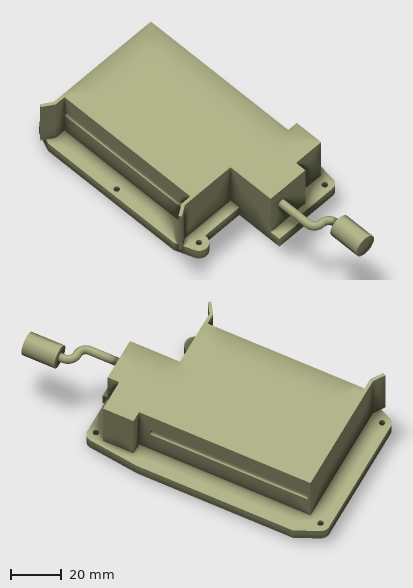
import cadquery as cq
import math

plate_thickness = 5.1
plate_depth = 69.0
plate_step_x = 106.1
ledge_x = 108.4
ledge_back_y = 44.9
notch_x = 86.2
notch_y = 30.4
back_edge_left_x = 12.1
back_edge_right_x = 81.0
front_edge_left_x = 10.4
front_edge_right_x = 79.7

hole_diameter = 2.5
left_hole_x = 3.8
left_corner_radius = left_hole_x
front_hole_y = 7.0
front_left_hole = (left_hole_x, front_hole_y)
back_left_hole = (left_hole_x, 61.0)
lug_hole = (86.8, front_hole_y)
lug_radius = 4.1
back_right_hole = (102.7, 62.0)
back_right_radius = 3.5
back_right_center = (plate_step_x - back_right_radius, 62.8)
middle_hole = (45.3, 3.0)

total_height = 27.4
housing_left_x = 9.1
housing_right_x = 81.4
housing_front_y = 9.1
housing_back_y = 59.4
housing_height = total_height - plate_thickness
wall_thickness = 1.4
tower_left_x = 85.0
tower_right_x = 98.5
tower_back_y = 64.2
side_block_x = 103.5
side_block_back_y = 50.0

slot_bottom_z = 15.3
slot_top_z = 18.2
fin_bend_y = 4.5
fin_tip_y = -1.0
fin_angle = math.radians(33)

cable_diameter = 3.5
cable_z = 18.9
cable_start_y = 36.4
cable_end_y = 44.5
first_bend_x = 118.3
first_bend_radius = 3.5
second_bend_radius = 4.0
plug_diameter = 10.0
plug_start_x = 127.5
plug_end_x = 142.0


def arc_point(center, radius, angle):
    """Point on a circle at an angle in radians."""
    return (center[0] + radius * math.cos(angle), center[1] + radius * math.sin(angle))


def tangent_angle(point, center, radius, side):
    """Angle on the circle where a line from the point touches it; side is +1 or -1."""
    dx = point[0] - center[0]
    dy = point[1] - center[1]
    return math.atan2(dy, dx) + side * math.acos(radius / math.hypot(dx, dy))


def add_corner(outline, center, radius, start, end):
    """Line to the start of a corner arc, then the arc to its end angle."""
    return outline.lineTo(*arc_point(center, radius, start)).threePointArc(
        arc_point(center, radius, (start + end) / 2),
        arc_point(center, radius, end),
    )


def make_plate():
    front_left = (front_edge_left_x, 0)
    front_right = (front_edge_right_x, 0)
    back_left = (back_edge_left_x, plate_depth)
    back_right = (back_edge_right_x, plate_depth)

    lug_start = tangent_angle(front_right, lug_hole, lug_radius, 1)
    lug_end = math.acos((notch_x - lug_hole[0]) / lug_radius)
    back_right_end = tangent_angle(back_right, back_right_center, back_right_radius, -1)
    back_left_start = tangent_angle(back_left, back_left_hole, left_corner_radius, 1)
    front_left_end = tangent_angle(front_left, front_left_hole, left_corner_radius, -1)

    outline = cq.Workplane("XY").moveTo(*front_left).lineTo(*front_right)
    outline = add_corner(outline, lug_hole, lug_radius, lug_start, lug_end)
    outline = (
        outline.lineTo(notch_x, notch_y)
        .lineTo(ledge_x, notch_y)
        .lineTo(ledge_x, ledge_back_y)
        .lineTo(plate_step_x, ledge_back_y)
    )
    outline = add_corner(outline, back_right_center, back_right_radius, 0, back_right_end)
    outline = outline.lineTo(*back_right).lineTo(*back_left)
    outline = add_corner(outline, back_left_hole, left_corner_radius, back_left_start, math.pi)
    outline = add_corner(outline, front_left_hole, left_corner_radius, -math.pi, front_left_end)
    plate = outline.close().extrude(plate_thickness)

    holes = (
        cq.Workplane("XY")
        .pushPoints([front_left_hole, back_left_hole, lug_hole, back_right_hole, middle_hole])
        .circle(hole_diameter / 2)
        .extrude(plate_thickness)
    )
    return plate.cut(holes)


def make_fin(outer_x, outward):
    """Guide fin continuing a side wall; outward is -1 on the left and +1 on the right."""
    inner_x = outer_x - outward * wall_thickness
    inner_bend_y = fin_bend_y - wall_thickness * math.tan(fin_angle / 2)
    flare = (inner_bend_y - fin_tip_y) * math.tan(fin_angle)
    inner_tip = (inner_x + outward * flare, fin_tip_y)
    outer_tip = (
        inner_tip[0] + outward * wall_thickness * math.cos(fin_angle),
        fin_tip_y + wall_thickness * math.sin(fin_angle),
    )
    return (
        cq.Workplane("XY", origin=(0, 0, plate_thickness))
        .polyline([
            (outer_x, housing_front_y),
            (outer_x, fin_bend_y),
            outer_tip,
            inner_tip,
            (inner_x, inner_bend_y),
            (inner_x, housing_front_y),
        ])
        .close()
        .extrude(housing_height)
    )


def make_housing():
    """Base plate with the box, its slot and its guide fins, all one solid."""
    box = (
        cq.Workplane("XY", origin=(0, 0, plate_thickness))
        .polyline([
            (housing_left_x, housing_front_y),
            (housing_right_x, housing_front_y),
            (housing_right_x, notch_y),
            (side_block_x, notch_y),
            (side_block_x, side_block_back_y),
            (tower_right_x, side_block_back_y),
            (tower_right_x, tower_back_y),
            (tower_left_x, tower_back_y),
            (tower_left_x, housing_back_y),
            (housing_left_x, housing_back_y),
        ])
        .close()
        .extrude(housing_height)
    )
    slot_left_x = housing_left_x + wall_thickness
    slot_right_x = housing_right_x - wall_thickness
    slot = cq.Workplane("XY", origin=(slot_left_x, housing_front_y, slot_bottom_z)).box(
        slot_right_x - slot_left_x,
        housing_back_y - housing_front_y,
        slot_top_z - slot_bottom_z,
        centered=False,
    )
    housing = make_plate().union(box.cut(slot))
    for outer_x, outward in ((housing_left_x, -1), (housing_right_x, 1)):
        housing = housing.union(make_fin(outer_x, outward))
    return housing


def make_cable():
    """Round cable with an S-bend, from the side block to the plug."""
    middle_x = first_bend_x + first_bend_radius
    path = (
        cq.Workplane("XY", origin=(0, 0, cable_z))
        .moveTo(side_block_x, cable_start_y)
        .lineTo(first_bend_x, cable_start_y)
        .tangentArcPoint((middle_x, cable_start_y + first_bend_radius), relative=False)
        .lineTo(middle_x, cable_end_y - second_bend_radius)
        .tangentArcPoint((middle_x + second_bend_radius, cable_end_y), relative=False)
        .lineTo(plug_start_x, cable_end_y)
    )
    return (
        cq.Workplane("YZ", origin=(side_block_x, cable_start_y, cable_z))
        .circle(cable_diameter / 2)
        .sweep(path)
    )


def make_plug():
    return (
        cq.Workplane("YZ", origin=(plug_start_x, cable_end_y, cable_z))
        .circle(plug_diameter / 2)
        .extrude(plug_end_x - plug_start_x)
    )


housing = make_housing()
cable = make_cable()
plug = make_plug()

result = cq.Compound.makeCompound([housing.val(), cable.val(), plug.val()])